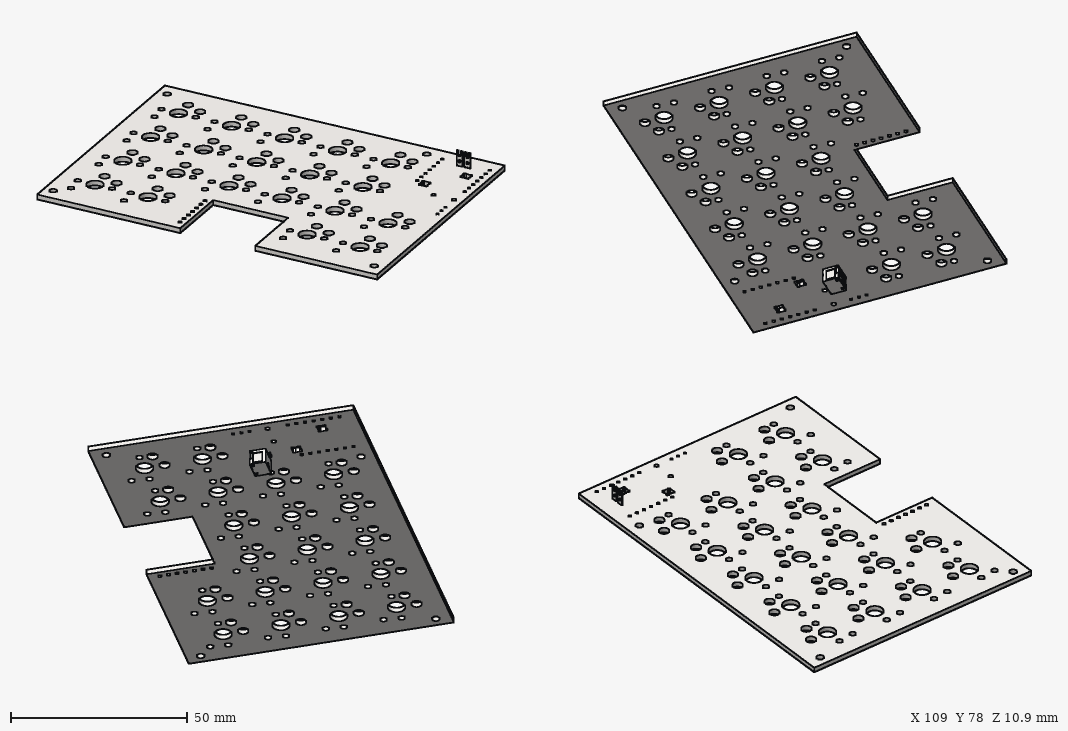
import cadquery as cq

board_width = 109.0
board_depth = 78.0
board_thickness = 1.6

notch_left = 45.9
notch_width = 24.0
notch_depth = 20.1

key_pitch = 17.0
first_key_x = 11.6
first_key_y = 13.25
key_columns_by_row = [(0, 1, 4, 5), (0, 1, 2, 3, 4, 5), (0, 1, 2, 3, 4), (0, 1, 2, 3, 4)]

stem_diameter = 5.0
socket_diameter = 3.0
socket_offsets = [(0.0, 5.9), (5.0, 3.7)]
guide_diameter = 1.9
guide_spread = 5.5
guide_offsets = [(-guide_spread, 0.0), (guide_spread, 0.0), (-5.0, -5.15)]

mounting_diameter = 2.2
mounting_points = [(2.9, 4.3), (105.7, 4.5), (3.1, 73.5), (86.0, 74.05)]

pin_pitch = 2.54
pins_per_row = 7
controller_pin_diameter = 0.81
controller_left_x = 91.36
controller_row_spacing = 15.24
controller_first_y = 58.06
header_pin_diameter = 1.0
header_x = 44.02
header_first_y = 3.45

switch_x = 106.29
locating_diameter = 1.3
locating_y = 52.1
locating_spacing = 6.55
terminal_diameter = 0.7
terminal_count = 3
terminal_pitch = 2.4
terminal_first_y = 41.95

window_width = 2.35
window_depth = 2.6
window_relief_diameter = 0.8
window_relief_spread = 1.9
upright_window_centre = (94.15, 57.3)
turned_window_centre = (102.35, 67.0)

contact_height = 4.75
contact_width = 1.8
contact_thickness = 0.35
contact_left_x = 97.73
contact_y = 71.8
fork_slot_width = 0.75
fork_slot_depth = 1.65
eyelet_diameter = 0.7
eyelet_height = 1.5

connector_height = 4.6
connector_width = 6.1
connector_depth = 4.7
connector_x = 93.95
connector_front_y = 44.25

chamber_width = 3.4
chamber_top = 0.9
chamber_height = 1.3
chamber_depth = 3.5
blade_spacing = 1.25
blade_size = 0.5

passage_base_width = 1.9
passage_top_width = 0.5
passage_bottom = 4.0
passage_height = 1.0

keyway_width = 0.5
keyway_spread = 4.0
keyway_top = 2.7
keyway_depth = 1.0

rebate_width = 0.5
rebate_depth = 0.8
rebate_top = 0.4
rebate_height = 2.3

panel_inset = 0.25
panel_front_margin = 1.0
panel_depth = 2.7
panel_top = 0.9
panel_height = 3.2

tail_length = 0.8
tail_thickness = 0.4


def round_holes(points, diameter):
    """Cutters for round holes through the board."""
    return (
        cq.Workplane("XY")
        .pushPoints(points)
        .circle(diameter / 2)
        .extrude(board_thickness)
    )


def pin_row(x, first_y, pitch, count):
    """Points of a straight row of pins running along Y."""
    return [(x, first_y + i * pitch) for i in range(count)]


def key_points(offsets):
    """The given offsets repeated at each key of the grid."""
    points = []
    for row, columns in enumerate(key_columns_by_row):
        for column in columns:
            for dx, dy in offsets:
                x = first_key_x + column * key_pitch + dx
                y = first_key_y + row * key_pitch + dy
                points.append((x, y))
    return points


def make_window(centre, width, depth):
    """Cutter for a window with a relief hole at each corner."""
    x, y = centre
    window = cq.Workplane("XY").center(x, y).rect(width, depth).extrude(board_thickness)
    reach = window_relief_spread / 2
    corners = [(x + i * reach, y + j * reach) for i in (-1, 1) for j in (-1, 1)]
    return window.union(round_holes(corners, window_relief_diameter))


def make_board():
    board = cq.Workplane("XY").box(board_width, board_depth, board_thickness, centered=False)
    notch = cq.Workplane("XY").box(notch_width, notch_depth, board_thickness, centered=False)
    board = board.cut(notch.translate((notch_left, 0, 0)))

    board = board.cut(round_holes(key_points([(0.0, 0.0)]), stem_diameter))
    board = board.cut(round_holes(key_points(socket_offsets), socket_diameter))
    board = board.cut(round_holes(key_points(guide_offsets), guide_diameter))
    board = board.cut(round_holes(mounting_points, mounting_diameter))

    for x in (controller_left_x, controller_left_x + controller_row_spacing):
        row = pin_row(x, controller_first_y, pin_pitch, pins_per_row)
        board = board.cut(round_holes(row, controller_pin_diameter))
    header = pin_row(header_x, header_first_y, pin_pitch, pins_per_row)
    board = board.cut(round_holes(header, header_pin_diameter))

    locating = [(switch_x - locating_spacing, locating_y), (switch_x, locating_y)]
    board = board.cut(round_holes(locating, locating_diameter))
    terminals = pin_row(switch_x, terminal_first_y, terminal_pitch, terminal_count)
    board = board.cut(round_holes(terminals, terminal_diameter))

    board = board.cut(make_window(upright_window_centre, window_width, window_depth))
    board = board.cut(make_window(turned_window_centre, window_depth, window_width))
    return board


def make_contact(x):
    """A flat contact standing on the board, forked at the top and pierced by an eyelet."""
    blank = cq.Workplane("XY").box(
        contact_width, contact_thickness, contact_height, centered=(True, True, False)
    )
    slot_floor_centre = contact_height - fork_slot_depth + fork_slot_width / 2
    slot = (
        cq.Workplane("XZ")
        .moveTo(-fork_slot_width / 2, contact_height)
        .lineTo(-fork_slot_width / 2, slot_floor_centre)
        .threePointArc((0, contact_height - fork_slot_depth), (fork_slot_width / 2, slot_floor_centre))
        .lineTo(fork_slot_width / 2, contact_height)
        .close()
        .extrude(contact_thickness, both=True)
    )
    eyelet = (
        cq.Workplane("XZ")
        .center(0, eyelet_height)
        .circle(eyelet_diameter / 2)
        .extrude(contact_thickness, both=True)
    )
    blank = blank.cut(slot).cut(eyelet)
    return blank.translate((x, contact_y, board_thickness))


def hanging_block(width, depth, height, x, y, top):
    """A block centred on x, reaching back from y and down from the given depth below the board."""
    block = cq.Workplane("XY").box(width, depth, height, centered=(True, False, False))
    return block.translate((x, y, -top - height))


def make_connector():
    """A plug connector under the board, open to the front, with tails at the back."""
    body = hanging_block(connector_width, connector_depth, connector_height, 0, 0, 0)

    body = body.cut(hanging_block(chamber_width, chamber_depth, chamber_height, 0, 0, chamber_top))
    blade_top = chamber_top + (chamber_height - blade_size) / 2
    for side in (-1, 1):
        blade_x = side * blade_spacing / 2
        blade = hanging_block(blade_size, chamber_depth, blade_size, blade_x, 0, blade_top)
        tail = hanging_block(
            blade_size, tail_length, tail_thickness, blade_x, connector_depth, 0
        )
        body = body.union(blade).union(tail)

    passage = (
        cq.Workplane("XZ")
        .moveTo(-passage_base_width / 2, -passage_bottom)
        .lineTo(passage_base_width / 2, -passage_bottom)
        .lineTo(passage_top_width / 2, passage_height - passage_bottom)
        .lineTo(-passage_top_width / 2, passage_height - passage_bottom)
        .close()
        .extrude(-connector_depth)
    )
    body = body.cut(passage)

    keyway_height = connector_height - keyway_top
    for side in (-1, 1):
        keyway_x = side * keyway_spread / 2
        body = body.cut(
            hanging_block(keyway_width, keyway_depth, keyway_height, keyway_x, 0, keyway_top)
        )
        rebate_x = side * (connector_width - rebate_width) / 2
        body = body.cut(
            hanging_block(rebate_width, rebate_depth, rebate_height, rebate_x, 0, rebate_top)
        )
        panel_x = side * (connector_width - panel_inset) / 2
        body = body.cut(
            hanging_block(
                panel_inset, panel_depth, panel_height, panel_x, panel_front_margin, panel_top
            )
        )
    return body.translate((connector_x, connector_front_y, 0))


board = make_board()
contacts = [make_contact(contact_left_x + i * pin_pitch) for i in range(2)]
connector = make_connector()

result = cq.Compound.makeCompound(
    [board.val(), *[contact.val() for contact in contacts], connector.val()]
)